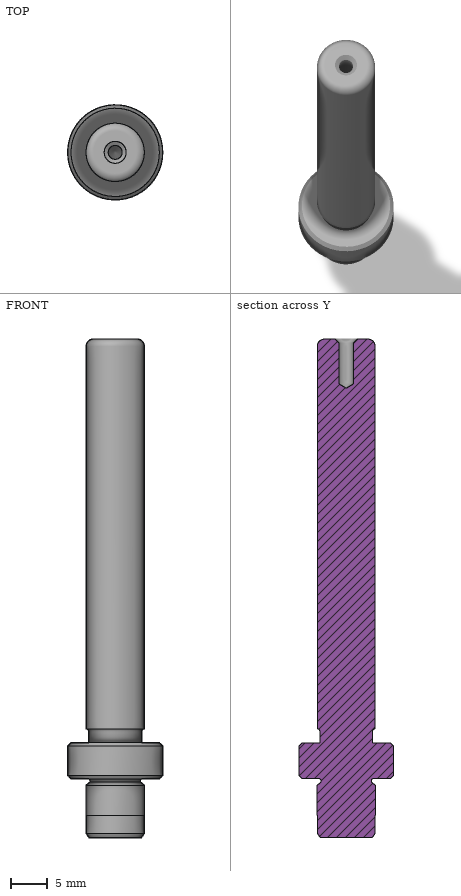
import cadquery as cq
import math

total_length = 68.0
seat_bottom = 3.05
flange_bottom = 8.0
flange_top = 13.0
shaft_bottom = 14.8

pin_radius = 7.95 / 2
seat_radius = 8.0 / 2
flange_radius = 13.0 / 2
upper_neck_radius = 7.3 / 2
lower_neck_radius = 6.95 / 2

flange_chamfer = 0.5
foot_chamfer_height = 0.6
foot_chamfer_width = 0.4
upper_neck_fillet = 0.3
lower_neck_fillet = 0.2
shoulder_chamfer_height = 0.5
lower_neck_length = 0.4
top_round = 1.0

hole_radius = 0.95
hole_mouth_radius = 1.5
hole_depth = 6.1
drill_point_angle = 118.0


def turned_body():
    """Revolve the foot, slightly larger seat, lower neck, flange, upper neck and long shaft about Z."""
    shoulder_top = flange_bottom - lower_neck_length
    profile = (
        cq.Workplane("XZ")
        .moveTo(0, 0)
        .lineTo(pin_radius - foot_chamfer_width, 0)
        .lineTo(pin_radius, foot_chamfer_height)
        .lineTo(pin_radius, seat_bottom)
        .lineTo(seat_radius, seat_bottom)
        .lineTo(seat_radius, shoulder_top - shoulder_chamfer_height)
        .lineTo(lower_neck_radius, shoulder_top)
        .lineTo(lower_neck_radius, flange_bottom - lower_neck_fillet)
        .radiusArc((lower_neck_radius + lower_neck_fillet, flange_bottom), lower_neck_fillet)
        .lineTo(flange_radius - flange_chamfer, flange_bottom)
        .lineTo(flange_radius, flange_bottom + flange_chamfer)
        .lineTo(flange_radius, flange_top - flange_chamfer)
        .lineTo(flange_radius - flange_chamfer, flange_top)
        .lineTo(upper_neck_radius, flange_top)
        .lineTo(upper_neck_radius, shaft_bottom - upper_neck_fillet)
        .radiusArc((upper_neck_radius + upper_neck_fillet, shaft_bottom), upper_neck_fillet)
        .lineTo(pin_radius, shaft_bottom)
        .lineTo(pin_radius, total_length - top_round)
        .radiusArc((pin_radius - top_round, total_length), -top_round)
        .lineTo(0, total_length)
        .close()
    )
    return profile.revolve(360, (0, 0, 0), (0, 1, 0))


def top_hole():
    """Drilled hole with a 90 degree countersink and a conical drill point."""
    countersink_depth = hole_mouth_radius - hole_radius
    point_length = hole_radius / math.tan(math.radians(drill_point_angle / 2))
    hole_floor = total_length - hole_depth
    profile = (
        cq.Workplane("XZ")
        .moveTo(0, total_length)
        .lineTo(hole_mouth_radius, total_length)
        .lineTo(hole_radius, total_length - countersink_depth)
        .lineTo(hole_radius, hole_floor)
        .lineTo(0, hole_floor - point_length)
        .close()
    )
    return profile.revolve(360, (0, 0, 0), (0, 1, 0))


result = turned_body().cut(top_hole())